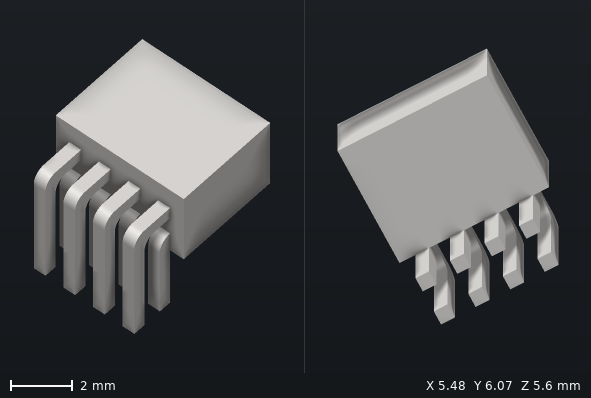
import cadquery as cq

housing_width = 5.48
housing_depth = 4.3
housing_height = 3.0

pin_size = 0.505
pin_pitch = 1.27
row_pitch = 1.27
pins_per_row = 4
overall_depth = 6.07
overall_height = 5.6

housing_bottom = overall_height - housing_height
upper_row_drop = 0.885
upper_pin_top = overall_height - upper_row_drop
upper_pin_reach = overall_depth - housing_depth
lower_pin_top = upper_pin_top - row_pitch
lower_pin_reach = upper_pin_reach - row_pitch
bend_radius = pin_size


def make_housing():
    return cq.Workplane("XY").box(
        housing_width, housing_depth, housing_height, centered=(True, False, False)
    ).translate((0, 0, housing_bottom))


def make_upper_pin(x):
    """L-shaped pin that leaves the housing face and bends down."""
    back = pin_size - upper_pin_reach
    under = upper_pin_top - pin_size
    return (
        cq.Workplane("YZ", origin=(x - pin_size / 2, 0, 0))
        .moveTo(0, upper_pin_top)
        .lineTo(bend_radius - upper_pin_reach, upper_pin_top)
        .radiusArc((-upper_pin_reach, upper_pin_top - bend_radius), -bend_radius)
        .lineTo(-upper_pin_reach, 0)
        .lineTo(back, 0)
        .lineTo(back, under - bend_radius)
        .radiusArc((back + bend_radius, under), bend_radius)
        .lineTo(0, under)
        .close()
        .extrude(pin_size)
    )


def make_lower_pin(x):
    """Straight pin against the housing face, rounded over at its top."""
    return (
        cq.Workplane("YZ", origin=(x - pin_size / 2, 0, 0))
        .moveTo(0, lower_pin_top)
        .radiusArc((-lower_pin_reach, lower_pin_top - lower_pin_reach), -lower_pin_reach)
        .lineTo(-lower_pin_reach, 0)
        .lineTo(0, 0)
        .close()
        .extrude(pin_size)
    )


housing = make_housing()
upper_pins = []
lower_pins = []
for i in range(pins_per_row):
    pin_x = (i - (pins_per_row - 1) / 2) * pin_pitch
    upper_pins.append(make_upper_pin(pin_x).val())
    lower_pins.append(make_lower_pin(pin_x).val())

result = cq.Compound.makeCompound([housing.val(), *upper_pins, *lower_pins])